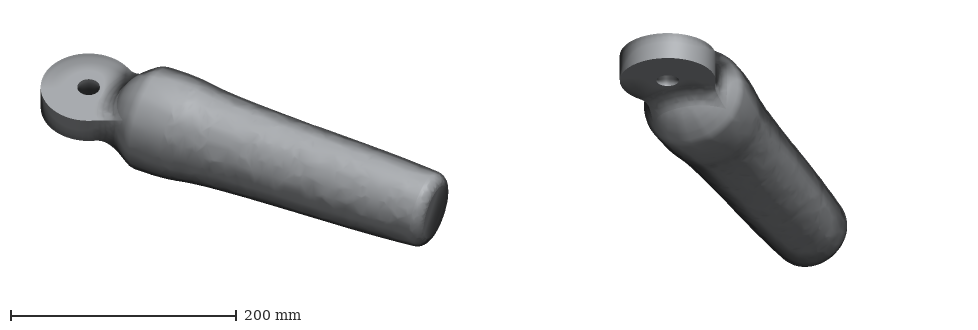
import cadquery as cq

eye_radius = 42.5
eye_thickness = 25.0
hole_diameter = 20.0

overall_length = 381.85
tail_x = overall_length - eye_radius
tail_radius = 33.9
tail_rounding = 10.0
nose_x = 27.0
belly_x = 68.0
belly_radius = 47.88

neck_fillet = 20.0

shoulder_points = [(33.0, 24.5), (43.0, 36.8), (53.0, 44.2)]
taper_points = [(112.0, 44.4), (158.0, 41.2), (228.0, 39.0), (285.0, 37.2)]


def make_body():
    """Handle with a blunt nose, a full belly and a gently waved taper to the flat tail."""
    nose_point = (nose_x, 0)
    belly_point = (belly_x, belly_radius)
    tail_point = (tail_x, tail_radius)
    outline_points = [nose_point, *shoulder_points, belly_point, *taper_points, tail_point]

    fixed_directions = {nose_point: (0, 1), belly_point: (1, 0)}
    directions = [fixed_directions.get(point) for point in outline_points]

    profile = cq.Workplane("XY").spline(outline_points, tangents=directions).lineTo(tail_x, 0).close()
    body = profile.revolve(360, (0, 0, 0), (1, 0, 0))
    return body.faces(">X").edges().fillet(tail_rounding)


def make_eye():
    """Round flat plate, centred on the body axis."""
    return cq.Workplane("XY").circle(eye_radius).extrude(eye_thickness / 2, both=True)


def join_with_neck(body, eye):
    """Unite the plate with the body and round the inside corner all around the joint."""
    joint = cq.selectors.BoxSelector(
        (nose_x, -eye_radius, -eye_thickness),
        (eye_radius, eye_radius, eye_thickness),
    )
    return body.union(eye).edges(joint).fillet(neck_fillet)


def drill_eye(part):
    """Through hole in the middle of the eye plate."""
    plate_underside = cq.Workplane("XY", origin=(0, 0, -eye_thickness / 2))
    return part.cut(plate_underside.circle(hole_diameter / 2).extrude(eye_thickness))


result = drill_eye(join_with_neck(make_body(), make_eye()))